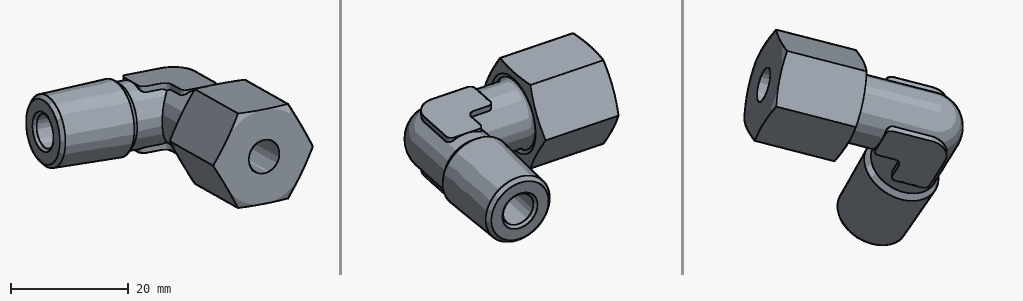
import cadquery as cq
import math

BODY_RADIUS = 6.0
BORE_RADIUS = BODY_RADIUS / 2

HEX_FLATS = 17.0
HEX_START = 14.75
HEX_END = 30.0
HEX_CHAMFER_ANGLE = 15.0
RECESS_OUTER_RADIUS = 7.2
RECESS_INNER_RADIUS = 6.52
NECK_START = 14.2
NECK_FLARE_RADIUS = 0.7
NECK_FLARE_END = NECK_START + NECK_FLARE_RADIUS * math.sin(math.pi / 4)
NECK_FLARE_END_RADIUS = BODY_RADIUS + NECK_FLARE_RADIUS * (1 - math.cos(math.pi / 4))
RECESS_FLOOR = NECK_FLARE_END + RECESS_INNER_RADIUS - NECK_FLARE_END_RADIUS

SPIGOT_SHOULDER = 10.95
SPIGOT_START = 11.97
SPIGOT_END = 25.95
SPIGOT_RADIUS = 6.8
SPIGOT_TAPER = 1 / 32
TIP_CHAMFER = 0.7
MOUTH_CHAMFER = 0.5

PAD_HALF_WIDTH = 3.43
PAD_LENGTH = 8.6
PAD_CORNER_RADIUS = 1.0
PAD_INNER_RADIUS = 1.3
PAD_OUTER_RADIUS = 4.1


def revolve_about_x(points):
    return cq.Workplane("XY").polyline(points).close().revolve(360, (0, 0), (1, 0))


def revolve_about_y(points):
    return cq.Workplane("XY").polyline(points).close().revolve(360, (0, 0), (0, 1))


def elbow(radius, x_end, y_end):
    """Two round arms meeting at a spherical corner."""
    arm_x = cq.Workplane("YZ").circle(radius).extrude(x_end)
    arm_y = cq.Workplane("XZ").circle(radius).extrude(y_end)
    return cq.Workplane("XY").sphere(radius).union(arm_x).union(arm_y)


def hex_socket():
    flat_radius = HEX_FLATS / 2
    corner_radius = flat_radius / math.cos(math.pi / 6)
    chamfer = (corner_radius - flat_radius) * math.tan(math.radians(HEX_CHAMFER_ANGLE))
    prism = (
        cq.Workplane("YZ", origin=(HEX_START, 0, 0))
        .polygon(6, 2 * corner_radius)
        .extrude(HEX_END - HEX_START)
    )
    envelope = revolve_about_x([
        (HEX_START, 0),
        (HEX_START, flat_radius),
        (HEX_START + chamfer, corner_radius),
        (HEX_END - chamfer, corner_radius),
        (HEX_END, flat_radius),
        (HEX_END, 0),
    ])
    recess = revolve_about_x([
        (HEX_START, 0),
        (HEX_START, RECESS_OUTER_RADIUS),
        (RECESS_FLOOR, RECESS_INNER_RADIUS),
        (RECESS_FLOOR, 0),
    ])
    return prism.intersect(envelope).cut(recess)


def neck():
    """Flare where the round arm enters the socket recess."""
    return (
        cq.Workplane("XY")
        .moveTo(NECK_START, 0)
        .lineTo(NECK_START, BODY_RADIUS)
        .threePointArc(
            (
                NECK_START + NECK_FLARE_RADIUS * math.sin(math.pi / 8),
                BODY_RADIUS + NECK_FLARE_RADIUS * (1 - math.cos(math.pi / 8)),
            ),
            (NECK_FLARE_END, NECK_FLARE_END_RADIUS),
        )
        .lineTo(RECESS_FLOOR, RECESS_INNER_RADIUS)
        .lineTo(RECESS_FLOOR, 0)
        .close()
        .revolve(360, (0, 0), (1, 0))
    )


def spigot():
    taper_end = SPIGOT_END - TIP_CHAMFER
    end_radius = SPIGOT_RADIUS - (taper_end - SPIGOT_START) * SPIGOT_TAPER
    return revolve_about_y([
        (0, -SPIGOT_SHOULDER),
        (BODY_RADIUS, -SPIGOT_SHOULDER),
        (SPIGOT_RADIUS, -SPIGOT_START),
        (end_radius, -taper_end),
        (end_radius - TIP_CHAMFER, -SPIGOT_END),
        (0, -SPIGOT_END),
    ])


def pads():
    """One L-shaped block through the bend, flush with the arms on both sides."""
    w = PAD_HALF_WIDTH
    block = (
        cq.Workplane("XY", origin=(0, 0, -BODY_RADIUS))
        .moveTo(-w, w)
        .lineTo(PAD_LENGTH, w)
        .lineTo(PAD_LENGTH, -w)
        .lineTo(w, -w)
        .lineTo(w, -PAD_LENGTH)
        .lineTo(-w, -PAD_LENGTH)
        .close()
        .extrude(2 * BODY_RADIUS)
    )
    corner_fillets = [
        (-w, w, PAD_OUTER_RADIUS),
        (PAD_LENGTH, w, PAD_CORNER_RADIUS),
        (PAD_LENGTH, -w, PAD_CORNER_RADIUS),
        (w, -w, PAD_INNER_RADIUS),
        (w, -PAD_LENGTH, PAD_CORNER_RADIUS),
        (-w, -PAD_LENGTH, PAD_CORNER_RADIUS),
    ]
    for x, y, radius in corner_fillets:
        corner = cq.selectors.NearestToPointSelector((x, y, 0))
        block = block.edges("|Z").edges(corner).fillet(radius)
    return block


def mouth_chamfer():
    """Bevel at the open end of the spigot bore."""
    return revolve_about_y([
        (0, -SPIGOT_END),
        (BORE_RADIUS + MOUTH_CHAMFER, -SPIGOT_END),
        (BORE_RADIUS, -SPIGOT_END + MOUTH_CHAMFER),
        (0, -SPIGOT_END + MOUTH_CHAMFER),
    ])


body = elbow(BODY_RADIUS, HEX_END, SPIGOT_SHOULDER)
body = body.union(pads()).union(spigot()).union(hex_socket()).union(neck())
result = body.cut(elbow(BORE_RADIUS, HEX_END, SPIGOT_END)).cut(mouth_chamfer())